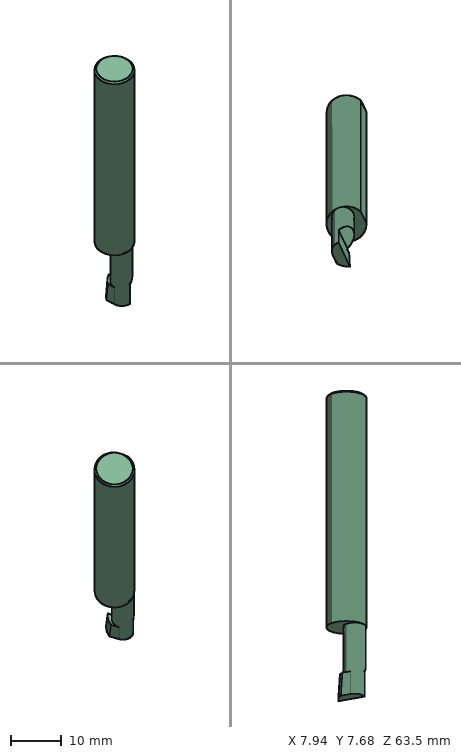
import cadquery as cq
import math

total_length = 63.5
shank_diameter = 7.9375
shank_start = 15.2
shank_flat_y = 3.71
shank_chamfer = 0.38

neck_diameter = 4.42

rake_top = 5.55
head_height = 5.1
tip_x = -1.81
heel_x = -1.02
heel_y = -1.5
clearance_radius = 5.0
back_x = -0.27
side_relief_angle = 4.0
end_relief_angle = 6.0
end_edge_angle = 2.0

cut_size = 4 * shank_diameter
shank_radius = shank_diameter / 2
neck_radius = neck_diameter / 2
neck_x = shank_radius - neck_radius


def make_shank():
    shank = (
        cq.Workplane("XY", origin=(0, 0, shank_start))
        .circle(shank_radius)
        .extrude(total_length - shank_start)
        .faces(">Z")
        .chamfer(shank_chamfer)
    )
    flat_cut = (
        cq.Workplane("XY")
        .box(shank_diameter, shank_diameter, total_length, centered=(True, False, False))
        .translate((0, shank_flat_y, 0))
    )
    return shank.cut(flat_cut)


def make_neck():
    return cq.Workplane("XY").center(neck_x, 0).circle(neck_radius).extrude(shank_start)


def head_section(height):
    """Cutting head outline at a height, shifted toward +X by the side relief."""
    lean = height * math.tan(math.radians(side_relief_angle))
    tip = cq.Vector(tip_x + lean, 0, height)
    heel = cq.Vector(heel_x + lean, heel_y, height)
    back = cq.Vector(back_x + lean, -neck_radius, height)
    neck_tangent = cq.Vector(neck_x, -neck_radius, height)
    neck_center = cq.Vector(neck_x, 0, height)

    chord = heel - tip
    bulge = clearance_radius - math.sqrt(clearance_radius**2 - (chord.Length / 2) ** 2)
    outward = cq.Vector(chord.y, -chord.x, 0).normalized()
    clearance_middle = (tip + heel) * 0.5 + outward * bulge

    return cq.Wire.assembleEdges([
        cq.Edge.makeThreePointArc(tip, clearance_middle, heel),
        cq.Edge.makeLine(heel, back),
        cq.Edge.makeLine(back, neck_tangent),
        cq.Edge.makeLine(neck_tangent, neck_center),
        cq.Edge.makeLine(neck_center, tip),
    ])


def make_head():
    return cq.Workplane(cq.Solid.makeLoft([head_section(0), head_section(head_height)], True))


def make_rake_cut():
    """Removes the +Y half below the rake face, which runs out at 45 degrees."""
    outline = [
        (0, 0),
        (0, rake_top),
        (neck_diameter, rake_top + neck_diameter),
        (neck_diameter, 0),
    ]
    return (
        cq.Workplane("YZ")
        .polyline(outline)
        .close()
        .extrude(shank_diameter, both=True)
    )


def make_end_cut():
    """Everything below the end face, a plane through the cutting corner."""
    slope_x = math.tan(math.radians(end_edge_angle))
    slope_y = math.tan(math.radians(end_relief_angle))
    end_plane = cq.Plane(origin=(tip_x, 0, 0), xDir=(1, 0, slope_x), normal=(-slope_x, slope_y, 1))
    return cq.Workplane(end_plane).rect(cut_size, cut_size).extrude(-cut_size)


tool = make_shank().union(make_neck()).union(make_head())
result = tool.cut(make_rake_cut()).cut(make_end_cut())